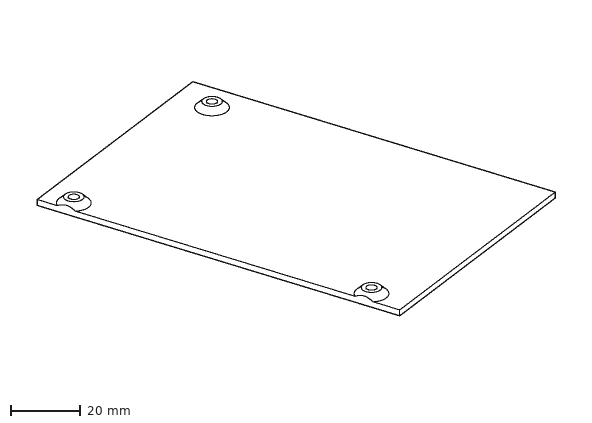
import cadquery as cq

plate_length = 124.0
plate_width = 84.0
plate_thickness = 2.0

total_height = 4.0
standoff_height = total_height - plate_thickness
base_diameter = 10.0
top_diameter = 6.0
hole_diameter = 3.2

front_y = 4.0
standoff_centres = [
    (10.0, front_y),
    (111.8, front_y),
    (13.0, 73.8),
]


def make_block(height):
    """Rectangular block on the plate footprint."""
    return cq.Workplane("XY").box(plate_length, plate_width, height, centered=False)


def make_standoff(centre):
    """Truncated cone standing on the plate."""
    return (
        cq.Workplane("XY", origin=(*centre, plate_thickness))
        .circle(base_diameter / 2)
        .workplane(offset=standoff_height)
        .circle(top_diameter / 2)
        .loft(ruled=True)
    )


def make_hole_cutters():
    """Cylinders for the holes through the standoffs and the plate."""
    return (
        cq.Workplane("XY")
        .pushPoints(standoff_centres)
        .circle(hole_diameter / 2)
        .extrude(total_height)
    )


result = make_block(plate_thickness)
footprint_limit = make_block(total_height)
for centre in standoff_centres:
    result = result.union(make_standoff(centre).intersect(footprint_limit))
result = result.cut(make_hole_cutters())